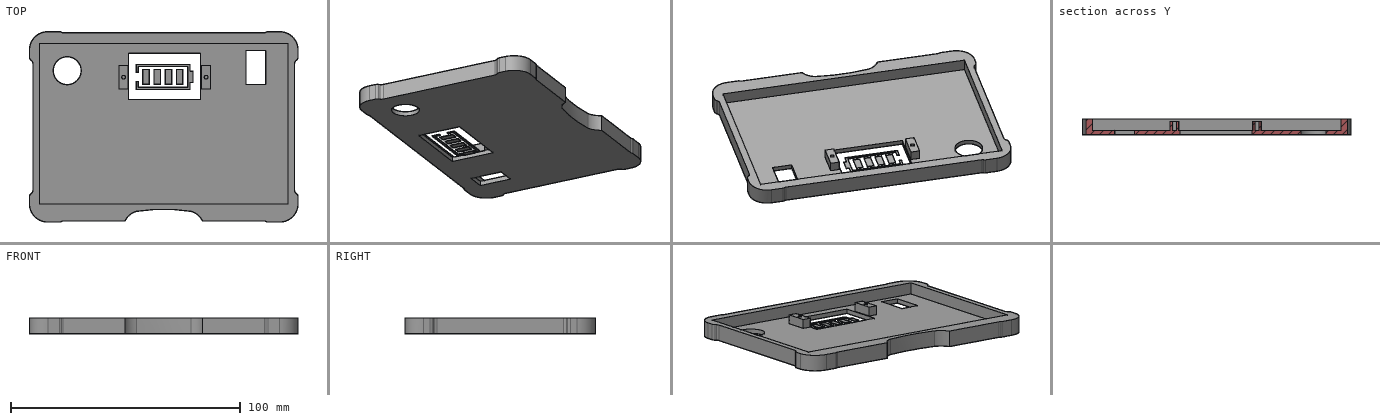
import cadquery as cq
import math

length = 117.0
width = 83.0
height = 7.0
floor_thickness = 2.0
half_length = length / 2
half_width = width / 2

corner_radius = 8.1
end_relief = 1.5
end_bumper_y = 30.5
end_bend_radius = 1.9
end_bend_angle = 45
edge_relief = 0.5
edge_bumper_x = 45.3
edge_step_length = 1.4

cutout_mouth_half = 16.8
cutout_shoulder_half = 11.9
cutout_shoulder_depth = 4.2
cutout_depth = 5.1
cutout_corner_bulge = 0.7

pocket_length = 108.1
pocket_back_y = 36.4
pocket_front_y = -33.5

round_hole_diameter = 12.0
round_hole_x = -42.0
round_hole_y = 24.5
slot_length = 8.5
slot_width = 14.7
slot_left_x = 35.8
slot_y = 25.9
window_length = 31.2
window_width = 20.0
window_x = 0.4
window_y = 22.0

post_length = 3.9
post_width = 10.2
post_height = 4.0
post_spacing = 35.9
posts_middle_x = 0.5
post_y = 21.6
screw_hole_diameter = 1.6

symbol_thickness = 0.2
symbol_y = 21.8
frame_left_x = -12.0
frame_length = 23.5
frame_width = 11.0
frame_wall = 1.0
frame_gap = 3.9
terminal_length = 1.3
terminal_width = 4.9
bar_count = 4
bar_length = 2.9
bar_width = 6.4
first_bar_x = -7.7
bar_span = 14.6
bar_pitch = bar_span / (bar_count - 1)


def block(size_x, size_y, size_z, x, y, bottom_z):
    """Box centred on (x, y) and standing on bottom_z."""
    solid = cq.Workplane("XY").box(size_x, size_y, size_z, centered=(True, True, False))
    return solid.translate((x, y, bottom_z))


def cylinder(diameter, size_z, x, y, bottom_z):
    """Upright cylinder centred on (x, y) and standing on bottom_z."""
    return cq.Workplane("XY", origin=(x, y, bottom_z)).circle(diameter / 2).extrude(size_z)


def make_quarter_plate():
    """The +X +Y quarter of the tray's outer shape."""
    edge_y = half_width - edge_relief
    edge_step_start_x = edge_bumper_x - edge_step_length
    edge_step_middle = (edge_bumper_x - edge_step_length / 2, half_width - edge_relief / 2)
    arc_inset = corner_radius * (1 - math.sqrt(0.5))

    slope = math.radians(end_bend_angle)
    bend_y = end_bend_radius * math.sin(slope)
    bend_x = end_bend_radius * (1 - math.cos(slope))
    slope_y = (end_relief - 2 * bend_x) / math.tan(slope)
    end_x = half_length - end_relief
    slope_start = (half_length - bend_x, end_bumper_y - bend_y)
    slope_end = (end_x + bend_x, end_bumper_y - bend_y - slope_y)
    step_end = (end_x, end_bumper_y - 2 * bend_y - slope_y)

    return (
        cq.Workplane("XY")
        .lineTo(0, edge_y)
        .lineTo(edge_step_start_x, edge_y)
        .tangentArcPoint(edge_step_middle, relative=False)
        .tangentArcPoint((edge_bumper_x, half_width), relative=False)
        .lineTo(half_length - corner_radius, half_width)
        .threePointArc(
            (half_length - arc_inset, half_width - arc_inset),
            (half_length, half_width - corner_radius),
        )
        .lineTo(half_length, end_bumper_y)
        .tangentArcPoint(slope_start, relative=False)
        .lineTo(*slope_end)
        .tangentArcPoint(step_end, relative=False)
        .lineTo(end_x, 0)
        .close()
        .extrude(height)
    )


def make_plate():
    quarter = make_quarter_plate()
    back_half = quarter.union(quarter.mirror("YZ"))
    return back_half.union(back_half.mirror("XZ"))


def make_thumb_cutout():
    mouth_y = edge_relief - half_width
    shoulder_y = mouth_y + cutout_shoulder_depth
    chord_x = cutout_mouth_half - cutout_shoulder_half
    chord = math.hypot(chord_x, cutout_shoulder_depth)
    bow_x = cutout_corner_bulge * cutout_shoulder_depth / chord
    bow_y = cutout_corner_bulge * chord_x / chord
    middle_x = (cutout_mouth_half + cutout_shoulder_half) / 2 + bow_x
    middle_y = (mouth_y + shoulder_y) / 2 + bow_y
    return (
        cq.Workplane("XY")
        .moveTo(-cutout_mouth_half, mouth_y)
        .threePointArc((-middle_x, middle_y), (-cutout_shoulder_half, shoulder_y))
        .threePointArc((0, mouth_y + cutout_depth), (cutout_shoulder_half, shoulder_y))
        .threePointArc((middle_x, middle_y), (cutout_mouth_half, mouth_y))
        .close()
        .extrude(height)
    )


def make_pocket():
    pocket_width = pocket_back_y - pocket_front_y
    pocket_y = (pocket_back_y + pocket_front_y) / 2
    return block(pocket_length, pocket_width, height - floor_thickness, 0, pocket_y, floor_thickness)


def make_post(x):
    """Screw post with a blind hole that reaches down to the floor."""
    post = block(post_length, post_width, post_height, x, post_y, floor_thickness)
    return post.cut(cylinder(screw_hole_diameter, post_height, x, post_y, floor_thickness))


def make_tray():
    slot_x = slot_left_x + slot_length / 2
    tray = make_plate().cut(make_thumb_cutout()).cut(make_pocket())
    tray = tray.cut(cylinder(round_hole_diameter, floor_thickness, round_hole_x, round_hole_y, 0))
    tray = tray.cut(block(slot_length, slot_width, floor_thickness, slot_x, slot_y, 0))
    for side in (-1, 1):
        tray = tray.union(make_post(posts_middle_x + side * post_spacing / 2))
    return tray.cut(block(window_length, window_width, height, window_x, window_y, 0))


def make_battery_frame():
    """Battery outline with a gap in its left wall and a terminal on its right."""
    frame_x = frame_left_x + frame_length / 2
    frame_right_x = frame_left_x + frame_length
    inner_length = frame_length - 2 * frame_wall
    inner_width = frame_width - 2 * frame_wall
    gap_x = frame_left_x + frame_wall / 2
    terminal_x = frame_right_x + terminal_length / 2
    frame = block(frame_length, frame_width, symbol_thickness, frame_x, symbol_y, 0)
    frame = frame.cut(block(inner_length, inner_width, symbol_thickness, frame_x, symbol_y, 0))
    frame = frame.cut(block(frame_wall, frame_gap, symbol_thickness, gap_x, symbol_y, 0))
    return frame.union(block(terminal_length, terminal_width, symbol_thickness, terminal_x, symbol_y, 0))


def make_charge_bar(index):
    return block(bar_length, bar_width, symbol_thickness, first_bar_x + index * bar_pitch, symbol_y, 0)


tray = make_tray()
battery_frame = make_battery_frame()
charge_bars = [make_charge_bar(index) for index in range(bar_count)]

result = cq.Compound.makeCompound(
    [tray.val(), battery_frame.val(), *[bar.val() for bar in charge_bars]]
)